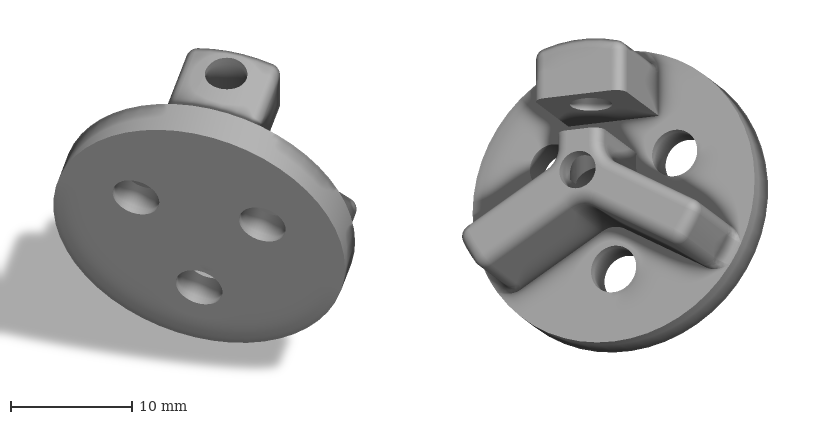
import cadquery as cq
import math

disc_radius = 12.5
disc_thickness = 3.0
total_depth = 11.0

disc_hole_diameter = 4.0
disc_hole_circle_radius = 6.25

arm_width = 4.0
arm_tip_radius = 11.5
edge_radius = 1.0
hub_corner_radius = 2.0
upper_arm_angle = 90
arm_angles = (upper_arm_angle, 210, 330)

selection_margin = 0.25

head_width = 2 * arm_width
head_bottom = 4.2
slot_bottom = 3.5
slot_top = 6.5
cross_hole_diameter = 3.5
cross_hole_y = 8.0
hub_bore_diameter = 3.2

disc_face = cq.Workplane("XZ", origin=(0, disc_thickness, 0))
arm_height = total_depth - disc_thickness


def make_disc():
    directions = [math.radians(angle + 180) for angle in arm_angles]
    hole_centres = [
        (disc_hole_circle_radius * math.cos(direction), disc_hole_circle_radius * math.sin(direction))
        for direction in directions
    ]
    holes = cq.Workplane("XZ").pushPoints(hole_centres).circle(disc_hole_diameter / 2)
    holes = holes.extrude(-disc_thickness)
    return cq.Workplane("XZ").circle(disc_radius).extrude(-disc_thickness).cut(holes)


def make_arm_envelope():
    """Round body whose side flares tangentially out to the disc rim."""
    flare_centre = (arm_tip_radius + edge_radius, disc_thickness + edge_radius)
    flare_middle = (
        flare_centre[0] - edge_radius * math.sqrt(0.5),
        flare_centre[1] - edge_radius * math.sqrt(0.5),
    )
    return (
        cq.Workplane("XY")
        .moveTo(0, disc_thickness)
        .lineTo(flare_centre[0], disc_thickness)
        .threePointArc(flare_middle, (arm_tip_radius, flare_centre[1]))
        .lineTo(arm_tip_radius, total_depth)
        .lineTo(0, total_depth)
        .close()
        .revolve(360, (0, 0, 0), (0, 1, 0))
    )


def box_between(x_min, z_min, x_max, z_max):
    """Selector for edges centred in an XZ rectangle, over the full depth."""
    return cq.selectors.BoxSelector((x_min, 0, z_min), (x_max, total_depth, z_max))


def round_tip_corners(arms, angle, half_width):
    """Round both corners of one arm tip, along the straight side and the flare."""
    upright = arms.rotate((0, 0, 0), (0, 1, 0), angle - upper_arm_angle)
    corner_low = math.sqrt(arm_tip_radius**2 - half_width**2) - selection_margin
    for side in (-1, 1):
        corner = cq.selectors.BoxSelector(
            (side * half_width - selection_margin, disc_thickness + selection_margin, corner_low),
            (side * half_width + selection_margin, total_depth - selection_margin, disc_radius),
        )
        upright = upright.edges(corner).fillet(edge_radius)
    return upright.rotate((0, 0, 0), (0, 1, 0), upper_arm_angle - angle)


def make_arms():
    """Arms and head with rounded corners and rounded outer edges."""
    reach = disc_radius + edge_radius
    arms = disc_face.circle(arm_width / 2).extrude(-arm_height)
    for angle in arm_angles:
        arm = disc_face.center(0, reach / 2).rect(arm_width, reach).extrude(-arm_height)
        arms = arms.union(arm.rotate((0, 0, 0), (0, 1, 0), upper_arm_angle - angle))
    head_length = reach - head_bottom
    head_centre = head_bottom + head_length / 2
    head = disc_face.center(0, head_centre).rect(head_width, head_length).extrude(-arm_height)
    arms = arms.union(head)

    hub_corners = box_between(-arm_width, -arm_width, arm_width, slot_bottom)
    head_corner_x = arm_width / 2 + selection_margin
    head_corners = box_between(-head_corner_x, slot_bottom, head_corner_x, slot_top)
    arms = arms.edges("|Y").edges(hub_corners).fillet(hub_corner_radius)
    arms = arms.edges("|Y").edges(head_corners).fillet(edge_radius)

    arms = arms.intersect(make_arm_envelope())
    for angle in arm_angles:
        half_width = head_width / 2 if angle == upper_arm_angle else arm_width / 2
        arms = round_tip_corners(arms, angle, half_width)
    return arms.faces(">Y").edges().fillet(edge_radius)


def make_slot():
    slot_height = slot_top - slot_bottom
    slot_centre = (slot_top + slot_bottom) / 2
    return disc_face.center(0, slot_centre).rect(2 * head_width, slot_height).extrude(-arm_height)


def make_cross_hole():
    """Hole from the rounded end of the head down to the axis of the hub bore."""
    hole_start = cq.Workplane("XY", origin=(0, cross_hole_y, 0))
    return hole_start.circle(cross_hole_diameter / 2).extrude(disc_radius)


def make_hub_bore():
    """Blind bore along the disc axis, ending at the disc."""
    return disc_face.circle(hub_bore_diameter / 2).extrude(-arm_height)


arms = make_arms().cut(make_slot()).cut(make_cross_hole()).cut(make_hub_bore())
result = make_disc().union(arms)